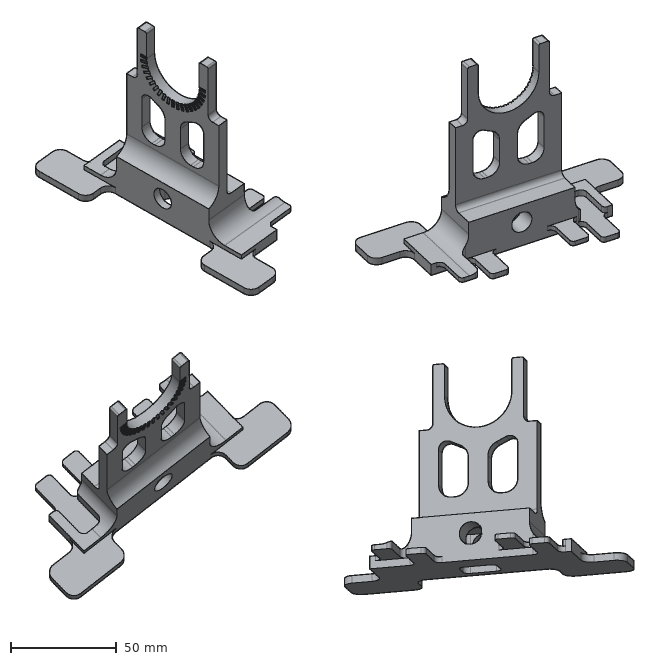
import cadquery as cq
import math

foot_half_width = 50.0
foot_height = 6.3
block_half_width = 29.3
block_depth = 25.3
block_height = 23.2
sweep_radius = 10.1
cross_hole_diameter = 11.0
cross_hole_height = 13.5

cavity_wall = 4.0
cavity_half_width = 9.4
cavity_back = 15.0
cavity_radius = 3.0

plate_front = 7.1
plate_thickness = 5.9
plate_back = plate_front + plate_thickness
front_cove_radius = 10.1
back_cove_radius = 3.0
shoulder_height = 70.0
total_height = 102.0
prong_half_width = 22.5
shoulder_fillet = 2.8
prong_tip_fillet = 1.0

cradle_radius = 16.7
cradle_height = 86.0
groove_count = 21
groove_width = 1.3
groove_outer_radius = 20.6
groove_depth = 0.4

window_inner = 4.9
window_outer = 19.6
window_bottom = 35.8
window_outer_top = 66.1
window_slope = 25
window_bottom_radius = 6.5
window_outer_radius = 4.0
window_inner_radius = 7.1

pad_half_span = 70.0
pad_width = 35.0
pad_length = 20.0
pad_overlap = 5.0
pad_thickness = 3.8
pad_radius = 5.0

tab_width = 10.1
tab_length = 17.6
tab_tip_radius = 2.0
tab_root_radius = 3.0
outer_tab_offset = 39.0
inner_tab_offset = 22.1
low_tab_top = 3.0
high_tab_bottom = pad_thickness
tab_end = block_depth + tab_length

pocket_clearance = 1.0
pocket_length = 19.0
pocket_corner_radius = 3.0
pocket_mouth_radius = 2.0


def box(x_range, y_range, z_range):
    """Box given by its limits along each axis."""
    size = [high - low for low, high in (x_range, y_range, z_range)]
    return cq.Workplane("XY").box(*size, centered=False).translate((x_range[0], y_range[0], z_range[0]))


def base_section():
    """Front outline of the foot and block, as a sketch facing -Y."""
    sweep_end = block_half_width + sweep_radius
    sweep_top = foot_height + sweep_radius
    on_arc = sweep_radius * (1 - math.sqrt(0.5))
    return (
        cq.Workplane("XZ")
        .moveTo(-foot_half_width, 0)
        .lineTo(foot_half_width, 0)
        .lineTo(foot_half_width, foot_height)
        .lineTo(sweep_end, foot_height)
        .threePointArc((block_half_width + on_arc, foot_height + on_arc), (block_half_width, sweep_top))
        .lineTo(block_half_width, block_height)
        .lineTo(-block_half_width, block_height)
        .lineTo(-block_half_width, sweep_top)
        .threePointArc((-block_half_width - on_arc, foot_height + on_arc), (-sweep_end, foot_height))
        .lineTo(-foot_half_width, foot_height)
        .close()
    )


def make_base():
    return base_section().extrude(-block_depth)


def make_cavity_cutter():
    """Room behind the front wall, open at the bottom and closed at the back."""
    cavity = box(
        (-cavity_half_width, cavity_half_width),
        (cavity_wall, cavity_back),
        (0, block_height - cavity_wall),
    )
    return cavity.edges("|Z").fillet(cavity_radius)


def make_plate():
    """Shouldered plate with prongs, extruded front to back."""
    outline = (
        cq.Workplane("XZ", origin=(0, plate_front, 0))
        .moveTo(-block_half_width, foot_height + sweep_radius)
        .lineTo(block_half_width, foot_height + sweep_radius)
        .lineTo(block_half_width, shoulder_height)
        .lineTo(prong_half_width, shoulder_height)
        .lineTo(prong_half_width, total_height)
        .lineTo(cradle_radius, total_height)
        .lineTo(cradle_radius, cradle_height)
        .threePointArc((0, cradle_height - cradle_radius), (-cradle_radius, cradle_height))
        .lineTo(-cradle_radius, total_height)
        .lineTo(-prong_half_width, total_height)
        .lineTo(-prong_half_width, shoulder_height)
        .lineTo(-block_half_width, shoulder_height)
        .close()
    )
    plate = outline.extrude(-plate_thickness)
    middle = (plate_front + plate_back) / 2
    prong_sides = (-prong_half_width, -cradle_radius, cradle_radius, prong_half_width)
    tip_corners = [(x, middle, total_height) for x in prong_sides]
    shoulder_corners = [(side * prong_half_width, middle, shoulder_height) for side in (-1, 1)]
    for corners, radius in ((tip_corners, prong_tip_fillet), (shoulder_corners, shoulder_fillet)):
        for corner in corners:
            plate = plate.edges(cq.selectors.NearestToPointSelector(corner)).fillet(radius)
    return plate


def make_coves():
    """Concave blends from the block top to the front and back of the plate."""
    front_centre = plate_front - front_cove_radius
    front_top = block_height + math.sqrt(front_cove_radius**2 - front_centre**2)
    half_turn = math.atan2(front_top - block_height, -front_centre) / 2
    back_on_arc = back_cove_radius * (1 - math.sqrt(0.5))
    section = (
        cq.Workplane("YZ", origin=(-block_half_width, 0, 0))
        .moveTo(0, block_height)
        .threePointArc(
            (
                front_centre + front_cove_radius * math.cos(half_turn),
                front_top - front_cove_radius * math.sin(half_turn),
            ),
            (plate_front, front_top),
        )
        .lineTo(plate_back, front_top)
        .lineTo(plate_back, block_height + back_cove_radius)
        .threePointArc(
            (plate_back + back_on_arc, block_height + back_on_arc),
            (plate_back + back_cove_radius, block_height),
        )
        .close()
    )
    return section.extrude(2 * block_half_width)


def make_groove_cutters():
    """Shallow radial grooves spread evenly over the lower half of the cradle."""
    inner_end = cradle_radius - groove_width
    groove = box(
        (inner_end, groove_outer_radius),
        (plate_front - groove_depth, plate_front + groove_depth),
        (-groove_width / 2, groove_width / 2),
    )
    cutters = cq.Workplane("XY")
    for index in range(groove_count):
        angle = 180 * index / (groove_count - 1)
        turned = groove.rotate((0, 0, 0), (0, 1, 0), angle)
        cutters = cutters.add(turned.translate((0, 0, cradle_height)))
    return cutters.combine()


def make_window_cutter():
    """Right-hand window: a slot with a sloping top and rounded corners."""
    drop = (window_outer - window_inner) * math.tan(math.radians(window_slope))
    inner_top = window_outer_top - drop
    window = (
        cq.Workplane("XZ", origin=(0, plate_front, 0))
        .moveTo(window_inner, window_bottom)
        .lineTo(window_outer, window_bottom)
        .lineTo(window_outer, window_outer_top)
        .lineTo(window_inner, inner_top)
        .close()
        .extrude(-plate_thickness)
    )
    middle = (plate_front + plate_back) / 2
    corner_radii = (
        (window_inner, window_bottom, window_bottom_radius),
        (window_outer, window_bottom, window_bottom_radius),
        (window_outer, window_outer_top, window_outer_radius),
        (window_inner, inner_top, window_inner_radius),
    )
    for x, z, radius in corner_radii:
        corner = cq.selectors.NearestToPointSelector((x, middle, z))
        window = window.edges(corner).fillet(radius)
    return window


def root_fillet(corner, toward_x, toward_y, radius, height):
    """Upright fill for an inside corner, open toward the given X and Y directions."""
    x, y = corner
    end_x = x + toward_x * radius
    end_y = y + toward_y * radius
    on_arc = radius * (1 - math.sqrt(0.5))
    return (
        cq.Workplane("XY")
        .moveTo(x, y)
        .lineTo(end_x, y)
        .threePointArc((x + toward_x * on_arc, y + toward_y * on_arc), (x, end_y))
        .close()
        .extrude(height)
    )


def make_pad():
    """Right-hand pad with its blends into the foot."""
    inner = pad_half_span - pad_width
    front = pad_overlap - pad_length
    pad = box((inner, pad_half_span), (front, pad_overlap), (0, pad_thickness)).edges("|Z").fillet(pad_radius)
    pad = pad.union(box((inner, foot_half_width), (0, pad_overlap), (0, pad_thickness)))
    pad = pad.union(root_fillet((inner, 0), -1, -1, pad_radius, pad_thickness))
    return pad.union(root_fillet((foot_half_width, pad_overlap), 1, 1, pad_radius, pad_thickness))


def make_tab(centre, bottom, top):
    """Flat tab with a rounded tip and flared root, between two levels."""
    left = centre - tab_width / 2
    right = centre + tab_width / 2
    height = top - bottom
    tab = box((left, right), (block_depth, tab_end), (0, height)).edges("|Z and >Y").fillet(tab_tip_radius)
    tab = tab.union(root_fillet((left, block_depth), -1, 1, tab_root_radius, height))
    tab = tab.union(root_fillet((right, block_depth), 1, 1, tab_root_radius, height))
    return tab.translate((0, 0, bottom))


def make_high_outer_tab():
    """Right-hand outer tab, whose top carries on the sweep of the foot."""
    blank = make_tab(outer_tab_offset, high_tab_bottom, block_height)
    return blank.intersect(base_section().extrude(-tab_end))


def make_pocket_cutter():
    """Recess in the left of the foot, continuing the top of the low outer tab."""
    half_width = tab_width / 2 + pocket_clearance
    left = -outer_tab_offset - half_width
    right = -outer_tab_offset + half_width
    front = block_depth - pocket_length
    height = block_height - low_tab_top
    pocket = box((left, right), (front, block_depth), (0, height))
    pocket = pocket.edges("|Z and <Y").fillet(pocket_corner_radius)
    pocket = pocket.union(root_fillet((left, block_depth), -1, -1, pocket_mouth_radius, height))
    pocket = pocket.union(root_fillet((right, block_depth), 1, -1, pocket_mouth_radius, height))
    return pocket.translate((0, 0, low_tab_top))


body = make_base().union(make_plate()).union(make_coves())

window_cutter = make_window_cutter()
cross_hole = (
    cq.Workplane("XZ")
    .center(0, cross_hole_height)
    .circle(cross_hole_diameter / 2)
    .extrude(-block_depth)
)
body = body.cut(make_groove_cutters())
body = body.cut(window_cutter).cut(window_cutter.mirror("YZ"))
body = body.cut(cross_hole).cut(make_cavity_cutter()).cut(make_pocket_cutter())

pad = make_pad()
body = body.union(pad).union(pad.mirror("YZ"))
body = body.union(make_tab(-outer_tab_offset, 0, low_tab_top))
body = body.union(make_tab(-inner_tab_offset, high_tab_bottom, foot_height))
body = body.union(make_tab(inner_tab_offset, 0, low_tab_top))
result = body.union(make_high_outer_tab())